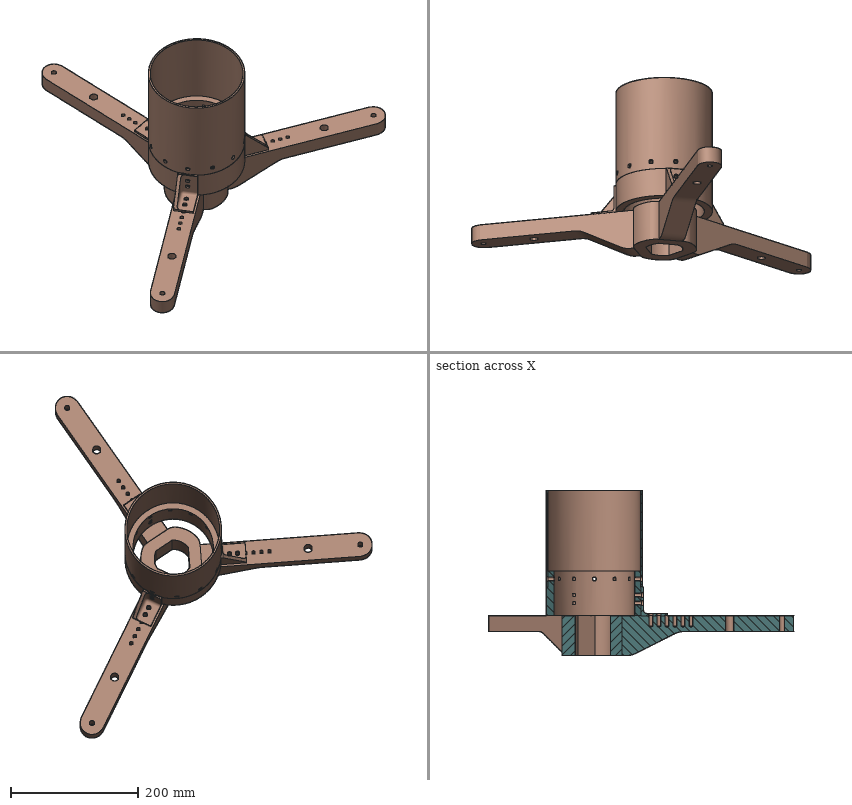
import cadquery as cq
import math


leg_angles = [90, 210, 330]
hole_pitch = 12.5

hub_height = 63.0
hub_radius = 51.0
hub_flat_distance = 44.0
hub_corner_radius = 20.5
bore_radius = 29.5
bore_flat_distance = 25.5

leg_width = 38.5
leg_thickness = 25.5
leg_tip_centre = 295.5
leg_tip_radius = 18.5
leg_shoulder_length = 3.5
haunch_inner = 58.0
haunch_outer = 133.5
haunch_blend_radius = 30.0
tip_hole_diameter = 7.5
middle_hole_diameter = 12.5
middle_hole_distance = 213.0
leg_screw_diameter = 5.4
leg_screw_count = 6
leg_screw_start = 89.0
leg_screw_depth = 16.5
drill_point_angle = 118

tube_outer_radius = 152.0 / 2
tube_inner_radius = 146.0 / 2
tube_height = 152.0

ring_inner_radius = 127.0 / 2
ring_height = 45.0
ring_flat_distance = 74.0
spigot_height = 2 * hole_pitch
ring_screw_diameter = 5.4
joint_hole_count = 12
tube_hole_diameter = 6.5

bracket_width = 32.0
bracket_length = 40.5
bracket_height = ring_height
bracket_wall = 3.55
gusset_wall = 5.5
bracket_fillet_radius = 4.65
bracket_hole_diameter = 6.5
ring_screw_start = 20.0
bracket_hole_count = 2

ring_base = hub_height
tube_base = ring_base + ring_height
joint_hole_level = tube_base + spigot_height / 2
leg_underside = hub_height - leg_thickness
leg_screw_places = [leg_screw_start + i * hole_pitch for i in range(leg_screw_count)]
bracket_hole_places = leg_screw_places[:bracket_hole_count]
wall_hole_levels = [ring_base + ring_screw_start + i * hole_pitch for i in range(bracket_hole_count)]


def turned(body, angle):
    """Body swung about the tube axis."""
    return body.rotate((0, 0, 0), (0, 0, 1), angle)


def cylinder(radius, base, height):
    return cq.Workplane("XY").workplane(offset=base).circle(radius).extrude(height)


def flatted_cylinder(radius, flat_distance, base, height):
    """Cylinder cut by a vertical flat on the side of each leg."""
    body = cylinder(radius, base, height)
    for angle in leg_angles:
        waste = cq.Workplane("XY").box(radius, 2 * radius, height, centered=(False, True, False))
        body = body.cut(turned(waste.translate((flat_distance, 0, base)), angle))
    return body


def vertical_holes(diameter, distances, base, height):
    """Vertical cylinders at the given distances along +X."""
    points = [(distance, 0) for distance in distances]
    return cq.Workplane("XY").workplane(offset=base).pushPoints(points).circle(diameter / 2).extrude(height)


def radial_holes(diameter, levels):
    """Horizontal cylinders along +X, from the axis out past the tube."""
    points = [(0, level) for level in levels]
    return cq.Workplane("YZ").pushPoints(points).circle(diameter / 2).extrude(2 * tube_outer_radius)


def drill_point(diameter):
    """Downward cone that a drill leaves below a blind hole."""
    radius = diameter / 2
    depth = radius / math.tan(math.radians(drill_point_angle / 2))
    return cq.Workplane("XZ").polyline([(0, 0), (radius, 0), (0, -depth)]).close().revolve(360, (0, 0), (0, 1))


def drill_joint(body, diameter):
    """Screw holes all round, where the tube overlaps the ring spigot."""
    for i in range(joint_hole_count):
        hole = radial_holes(diameter, [joint_hole_level])
        body = body.cut(turned(hole, i * 360 / joint_hole_count))
    return body


def make_hub():
    hub = flatted_cylinder(hub_radius, hub_flat_distance, 0, hub_height)
    hub = hub.edges("|Z").fillet(hub_corner_radius)
    return hub.cut(flatted_cylinder(bore_radius, bore_flat_distance, 0, hub_height))


def make_leg():
    """Leg along +X: deep at the hub, sloping up to a plain bar with a rounded tip."""
    tip = leg_tip_centre + leg_tip_radius
    side_outline = [
        (hub_flat_distance, hub_height),
        (hub_flat_distance, 0),
        (haunch_inner, 0),
        (haunch_outer, leg_underside),
        (tip, leg_underside),
        (tip, hub_height),
    ]
    leg = cq.Workplane("XZ").polyline(side_outline).close().extrude(leg_width / 2, both=True)
    for x, z in [(haunch_inner, 0), (haunch_outer, leg_underside)]:
        leg = leg.edges(cq.selectors.NearestToPointSelector((x, 0, z))).fillet(haunch_blend_radius)

    shoulder_x = leg_tip_centre + leg_shoulder_length
    shoulder_y = math.sqrt(leg_tip_radius**2 - leg_shoulder_length**2)
    plan = (
        cq.Workplane("XY")
        .moveTo(hub_flat_distance, -leg_width / 2)
        .lineTo(leg_tip_centre, -leg_width / 2)
        .lineTo(shoulder_x, -shoulder_y)
        .threePointArc((tip, 0), (shoulder_x, shoulder_y))
        .lineTo(leg_tip_centre, leg_width / 2)
        .lineTo(hub_flat_distance, leg_width / 2)
        .close()
        .extrude(hub_height)
    )
    leg = leg.intersect(plan)

    leg = leg.cut(vertical_holes(tip_hole_diameter, [leg_tip_centre], 0, hub_height))
    leg = leg.cut(vertical_holes(middle_hole_diameter, [middle_hole_distance], 0, hub_height))
    screw_floor = hub_height - leg_screw_depth
    leg = leg.cut(vertical_holes(leg_screw_diameter, leg_screw_places, screw_floor, leg_screw_depth))
    for place in leg_screw_places:
        leg = leg.cut(drill_point(leg_screw_diameter).translate((place, 0, screw_floor)))
    return leg


def make_ring():
    ring = flatted_cylinder(tube_outer_radius, ring_flat_distance, ring_base, ring_height)
    ring = ring.union(cylinder(tube_inner_radius, tube_base, spigot_height))
    ring = ring.cut(cylinder(ring_inner_radius, ring_base, ring_height + spigot_height))
    ring = drill_joint(ring, ring_screw_diameter)
    for angle in leg_angles:
        ring = ring.cut(turned(radial_holes(ring_screw_diameter, wall_hole_levels), angle))
    return ring


def make_tube():
    tube = cylinder(tube_outer_radius, tube_base, tube_height)
    tube = tube.cut(cylinder(tube_inner_radius, tube_base, tube_height))
    return drill_joint(tube, tube_hole_diameter)


def make_bracket():
    """Corner bracket on the +X leg: a foot, a wall against the ring and one gusset."""
    half_width = bracket_width / 2
    back = ring_flat_distance
    toe = back + bracket_length
    top = ring_base + bracket_height
    wall_face = back + bracket_wall
    foot_face = ring_base + bracket_wall
    side_outline = [(back, ring_base), (toe, ring_base), (toe, foot_face), (wall_face, top), (back, top)]
    bracket = cq.Workplane("XZ").polyline(side_outline).close().extrude(half_width, both=True)

    pocket = cq.Workplane("XY").box(
        bracket_length, bracket_width, bracket_height, centered=(False, False, False)
    )
    pocket = pocket.translate((wall_face, gusset_wall - half_width, foot_face))
    pocket = pocket.edges("(<X and <Y) or (<X and <Z) or (<Y and <Z)").fillet(bracket_fillet_radius)
    bracket = bracket.cut(pocket)

    bracket = bracket.cut(vertical_holes(bracket_hole_diameter, bracket_hole_places, ring_base, bracket_height))
    return bracket.cut(radial_holes(bracket_hole_diameter, wall_hole_levels))


hub = make_hub()
ring = make_ring()
tube = make_tube()
legs = [turned(make_leg(), angle) for angle in leg_angles]
brackets = [turned(make_bracket(), angle) for angle in leg_angles]

result = cq.Compound.makeCompound(
    [
        hub.val(),
        ring.val(),
        tube.val(),
        *[leg.val() for leg in legs],
        *[bracket.val() for bracket in brackets],
    ]
)